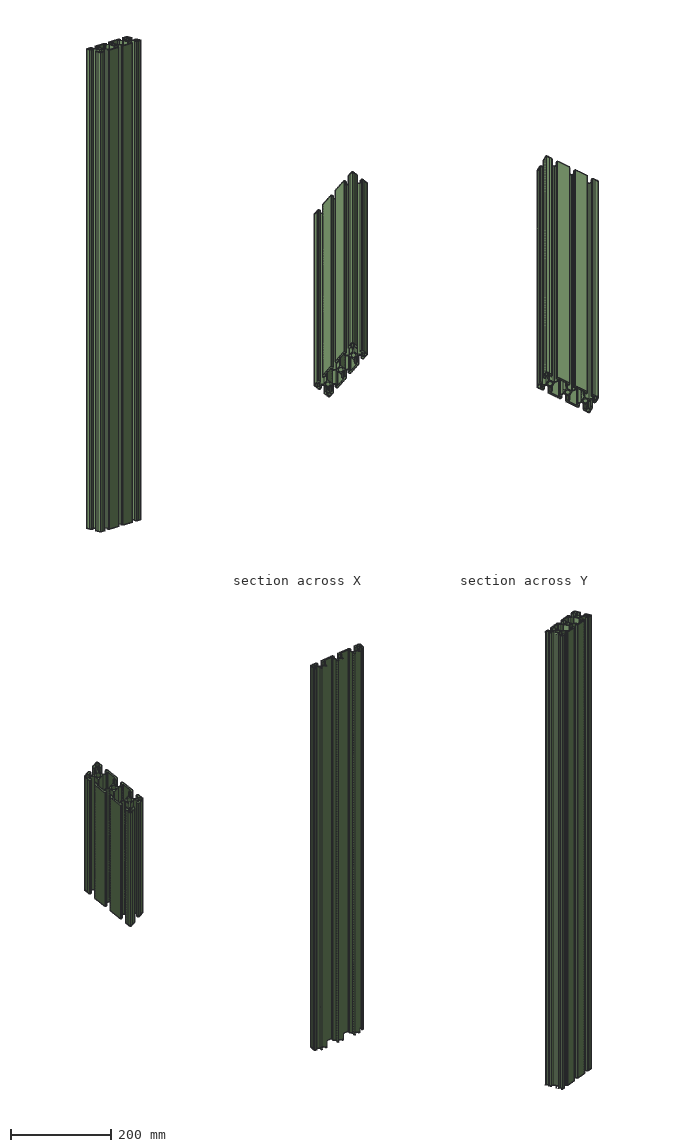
import cadquery as cq
module = 40.0
module_count = 3
length = 1000.0
corner_radius = 2.0

width = module
depth = module * module_count
half_module = module / 2

core_half = 6.7
bore_radius = 4.5

mouth_half = 6.4
mouth_depth = 1.6
neck_half = 5.0
lip_depth_at_neck = 5.5
lip_depth_at_wall = 4.0
slot_depth = half_module - core_half
floor_half = 4.6
cavity_flank = 5.5
cavity_half = floor_half + cavity_flank
cavity_wall_depth = slot_depth - cavity_flank

crown_half = 1.6
groove_sag = 0.3
crown_rise = 0.2

chamber_half = half_module - core_half
chamber_end_half = 6.8
chamber_wing_half = 8.6
chamber_wall = 3.2

hollow_inner = 12.0
hollow_wall = 1.3
hollow_chamfer = 1.5

module_centres = [(i - (module_count - 1) / 2) * module for i in range(module_count)]


def mirrored(points):
    """Mirror image of a polyline across X = 0, in reverse order."""
    return [(-x, y) for x, y in reversed(points)]


def slot_cutter():
    """T-slot opening toward +Y, with its mouth centred on the origin."""
    mouth_to_floor = [
        (mouth_half, 0),
        (mouth_half, -mouth_depth),
        (neck_half, -mouth_depth),
        (neck_half, -lip_depth_at_neck),
        (cavity_half, -lip_depth_at_wall),
        (cavity_half, -cavity_wall_depth),
        (floor_half, -slot_depth),
    ]
    floor_to_mouth = mirrored(mouth_to_floor)
    groove_middle = (floor_half + crown_half) / 2
    groove_bottom = -slot_depth - groove_sag
    return (
        cq.Workplane("XY")
        .polyline(mouth_to_floor)
        .threePointArc((groove_middle, groove_bottom), (crown_half, -slot_depth))
        .threePointArc((0, -slot_depth + crown_rise), (-crown_half, -slot_depth))
        .threePointArc((-groove_middle, groove_bottom), floor_to_mouth[0])
        .polyline(floor_to_mouth, includeCurrent=False)
        .close()
        .extrude(length)
    )


def chamber_cutter():
    """Chamber with two side wings, joined to its ends by 45 degree flanks."""
    flank_end_half = chamber_end_half + chamber_half - chamber_wing_half
    wing_reach = half_module - chamber_wall
    right_half = [
        (chamber_end_half, chamber_half),
        (flank_end_half, chamber_wing_half),
        (wing_reach, chamber_wing_half),
        (wing_reach, -chamber_wing_half),
        (flank_end_half, -chamber_wing_half),
        (chamber_end_half, -chamber_half),
    ]
    outline = right_half + mirrored(right_half)
    return cq.Workplane("XY").polyline(outline).close().extrude(length)


def corner_hollow_cutter(x_sign, y_sign):
    """Square hollow in one outer corner, chamfered on the side nearest the core."""
    near = hollow_inner
    far = half_module - hollow_wall
    outline = [
        (near + hollow_chamfer, near),
        (far, near),
        (far, far),
        (near, far),
        (near, near + hollow_chamfer),
    ]
    end_centre = module_centres[-1]
    placed = [(x_sign * x, y_sign * (end_centre + y)) for x, y in outline]
    return cq.Workplane("XY").polyline(placed).close().extrude(length)


bar = cq.Workplane("XY").rect(width, depth).extrude(length)
bar = bar.edges("|Z").fillet(corner_radius)

slot = slot_cutter()
z_axis = ((0, 0, 0), (0, 0, 1))
for turn in (0, 180):
    end_slot = slot.translate((0, depth / 2, 0))
    bar = bar.cut(end_slot.rotate(*z_axis, turn))
    for centre in module_centres:
        side_slot = slot.rotate(*z_axis, 90).translate((-width / 2, centre, 0))
        bar = bar.cut(side_slot.rotate(*z_axis, turn))

bore_points = [(0, centre) for centre in module_centres]
bar = bar.cut(cq.Workplane("XY").pushPoints(bore_points).circle(bore_radius).extrude(length))

for lower, upper in zip(module_centres, module_centres[1:]):
    bar = bar.cut(chamber_cutter().translate((0, (lower + upper) / 2, 0)))

for x_sign in (-1, 1):
    for y_sign in (-1, 1):
        bar = bar.cut(corner_hollow_cutter(x_sign, y_sign))

result = bar.translate((0, 0, -length / 2))